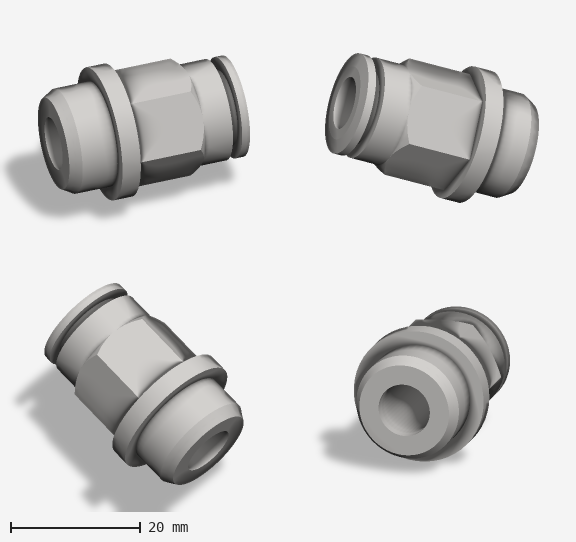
import cadquery as cq
import math


tip_chamfer_length = 1.8
thread_length = 7.55
flange_thickness = 3.0
hex_length = 11.5
body_length = 4.5
groove_width = 1.5
cap_edge_length = 1.3
cap_bevel_length = 0.35

tip_diameter = 14.5
thread_diameter = 16.6
flange_diameter = 21.0
body_diameter = 16.0
groove_diameter = 11.9
cap_diameter = body_diameter
cap_face_diameter = 11.6
bore_diameter = 8.3

hex_across_flats = 16.0
hex_across_corners = hex_across_flats / math.cos(math.pi / 6)
hex_chamfer = (hex_across_corners - body_diameter) / 2

flange_start = thread_length
hex_start = flange_start + flange_thickness
body_start = hex_start + hex_length
groove_start = body_start + body_length
cap_start = groove_start + groove_width
cap_edge_end = cap_start + cap_edge_length
total_length = cap_edge_end + cap_bevel_length


def cylinder(diameter, start, length):
    """Solid cylinder on the Y axis, running from start towards +Y."""
    plane = cq.Workplane("XZ", origin=(0, start, 0))
    return plane.circle(diameter / 2).extrude(-length)


def cone(start_diameter, end_diameter, start, length):
    """Solid truncated cone on the Y axis."""
    profile = cq.Workplane("XY").polyline([
        (0, start),
        (start_diameter / 2, start),
        (end_diameter / 2, start + length),
        (0, start + length),
    ]).close()
    return profile.revolve(360, (0, 0, 0), (0, 1, 0))


def threaded_end():
    tip = cone(tip_diameter, thread_diameter, 0, tip_chamfer_length)
    shank = cylinder(thread_diameter, tip_chamfer_length, thread_length - tip_chamfer_length)
    return tip.union(shank)


def hexagon():
    """Wrench hexagon whose corners are turned down at the tube end."""
    plane = cq.Workplane("XZ", origin=(0, hex_start, 0))
    prism = plane.polygon(6, hex_across_corners).extrude(-hex_length)
    straight_length = hex_length - hex_chamfer
    envelope = cylinder(hex_across_corners, hex_start, straight_length).union(
        cone(hex_across_corners, body_diameter, hex_start + straight_length, hex_chamfer)
    )
    return prism.intersect(envelope)


def release_cap():
    edge = cylinder(cap_diameter, cap_start, cap_edge_length)
    bevel = cone(cap_diameter, cap_face_diameter, cap_edge_end, cap_bevel_length)
    return edge.union(bevel)


flange = cylinder(flange_diameter, flange_start, flange_thickness)
body = cylinder(body_diameter, body_start, body_length)
groove_neck = cylinder(groove_diameter, groove_start, groove_width)
bore = cylinder(bore_diameter, 0, total_length)

result = (
    threaded_end()
    .union(flange)
    .union(hexagon())
    .union(body)
    .union(groove_neck)
    .union(release_cap())
    .cut(bore)
)